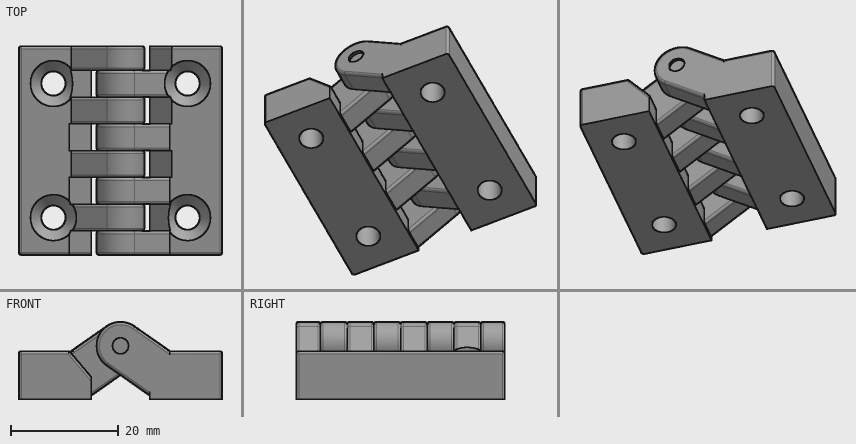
import cadquery as cq
import math

WIDTH = 38.0
LENGTH = 39.0
HEIGHT = 14.45
PLATE_HEIGHT = 9.0
EDGE_RADIUS = 0.5

KNUCKLE_RADIUS = 4.5
AXIS_HEIGHT = HEIGHT - KNUCKLE_RADIUS
ARM_SLOPE = math.radians(35)
KNUCKLE_COUNT = 8
KNUCKLE_PITCH = 5.0
HALF_COUNT = KNUCKLE_COUNT // 2

PLATE_INNER_X = 5.42
SLOPE_FOOT_HEIGHT = 4.1
SLOPE_TOP_X = 9.55

PIN_DIAMETER = 3.0
PIN_RECESS = 0.5

HOLE_DIAMETER = 4.5
SINK_DIAMETER = 8.58
SINK_ANGLE = 90.0
HOLE_OFFSET = 12.5

HALF_LENGTH = LENGTH / 2
ARM_FOOT_RISE = AXIS_HEIGHT + KNUCKLE_RADIUS / math.cos(ARM_SLOPE) - PLATE_HEIGHT
ARM_FOOT_X = ARM_FOOT_RISE / math.tan(ARM_SLOPE)


def cylinder_along_y(diameter, length):
    """Cylinder on the pin axis, centred on the middle of the hinge."""
    return (
        cq.Workplane("XZ", origin=(0, length / 2, AXIS_HEIGHT))
        .circle(diameter / 2)
        .extrude(length)
    )


def knuckle_span(index):
    """Y limits of a knuckle, counted from the -Y end; the end knuckles stop at the plate ends."""
    start = max((index - HALF_COUNT) * KNUCKLE_PITCH, -HALF_LENGTH)
    end = min((index + 1 - HALF_COUNT) * KNUCKLE_PITCH, HALF_LENGTH)
    return start, end


def extrude_between(outline, start, end):
    """Extrude an XZ outline from Y = start to Y = end."""
    return outline.extrude(end - start).translate((0, end, 0))


def make_plate(arm_indices, clearance_indices):
    """Plate on the +X side, rounded along its top and outer corners, with room left for the arms."""
    plate = cq.Workplane("XY", origin=((PLATE_INNER_X + WIDTH / 2) / 2, 0, 0)).box(
        WIDTH / 2 - PLATE_INNER_X, LENGTH, PLATE_HEIGHT, centered=(True, True, False)
    )
    for index in clearance_indices:
        plate = plate.cut(make_clearance(index))
    plate = plate.faces(">X or >Y or <Y").edges("not (<X or <Z)").fillet(EDGE_RADIUS)
    for index in arm_indices:
        plate = plate.cut(make_arm_seat(index))
    return plate


def make_clearance(index):
    """Sloped cut across the plate edge beside the opposite leaf's knuckle."""
    outline = (
        cq.Workplane("XZ")
        .moveTo(PLATE_INNER_X, SLOPE_FOOT_HEIGHT)
        .lineTo(SLOPE_TOP_X, PLATE_HEIGHT)
        .lineTo(PLATE_INNER_X, PLATE_HEIGHT)
        .close()
    )
    return extrude_between(outline, *knuckle_span(index))


def make_arm_seat(index):
    """Block of plate, from its inner edge to the foot of the arm's upper slope, that an arm replaces."""
    outline = cq.Workplane("XZ").moveTo(PLATE_INNER_X, 0).lineTo(ARM_FOOT_X, 0)
    outline = outline.lineTo(ARM_FOOT_X, PLATE_HEIGHT).lineTo(PLATE_INNER_X, PLATE_HEIGHT).close()
    return extrude_between(outline, *knuckle_span(index))


def make_arm(index):
    """Round-nosed arm sloping from the pin axis down to the plate, its side edges rounded."""
    tangent_x = KNUCKLE_RADIUS * math.sin(ARM_SLOPE)
    tangent_z = KNUCKLE_RADIUS * math.cos(ARM_SLOPE)
    underside_z = AXIS_HEIGHT - KNUCKLE_RADIUS / math.cos(ARM_SLOPE) - PLATE_INNER_X * math.tan(ARM_SLOPE)
    outline = (
        cq.Workplane("XZ")
        .moveTo(tangent_x, AXIS_HEIGHT + tangent_z)
        .threePointArc(
            (-tangent_z, AXIS_HEIGHT + tangent_x),
            (-tangent_x, AXIS_HEIGHT - tangent_z),
        )
        .lineTo(PLATE_INNER_X, underside_z)
        .lineTo(PLATE_INNER_X, 0)
        .lineTo(ARM_FOOT_X, 0)
        .lineTo(ARM_FOOT_X, PLATE_HEIGHT)
        .close()
    )
    arm = extrude_between(outline, *knuckle_span(index))
    return arm.faces("<Y or >Y").edges("not (|X or |Z)").fillet(EDGE_RADIUS)


def make_screw_holes():
    """Two countersunk holes; each countersink continues upward to clear the screw head."""
    sink_depth = (SINK_DIAMETER - HOLE_DIAMETER) / 2 / math.tan(math.radians(SINK_ANGLE / 2))
    half_section = (
        cq.Workplane("XZ")
        .moveTo(0, 0)
        .lineTo(HOLE_DIAMETER / 2, 0)
        .lineTo(HOLE_DIAMETER / 2, PLATE_HEIGHT - sink_depth)
        .lineTo(SINK_DIAMETER / 2, PLATE_HEIGHT)
        .lineTo(SINK_DIAMETER / 2, HEIGHT)
        .lineTo(0, HEIGHT)
        .close()
    )
    hole = half_section.revolve(360, (0, 0, 0), (0, 1, 0))
    front_hole = hole.translate((HOLE_OFFSET, -HOLE_OFFSET, 0))
    back_hole = hole.translate((HOLE_OFFSET, HOLE_OFFSET, 0))
    return front_hole.union(back_hole)


def make_leaf():
    """Leaf on the +X side: its arms and its clearances take turns from the -Y end."""
    arm_indices = range(0, KNUCKLE_COUNT, 2)
    clearance_indices = range(1, KNUCKLE_COUNT, 2)
    leaf = make_plate(arm_indices, clearance_indices)
    for index in arm_indices:
        leaf = leaf.union(make_arm(index))
    leaf = leaf.cut(make_screw_holes())
    return leaf.cut(cylinder_along_y(PIN_DIAMETER, LENGTH))


leaves = []
for turn in (0, 180):
    leaves.append(make_leaf().rotate((0, 0, 0), (0, 0, 1), turn).val())

pin = cylinder_along_y(PIN_DIAMETER, LENGTH - 2 * PIN_RECESS)

result = cq.Compound.makeCompound([*leaves, pin.val()])